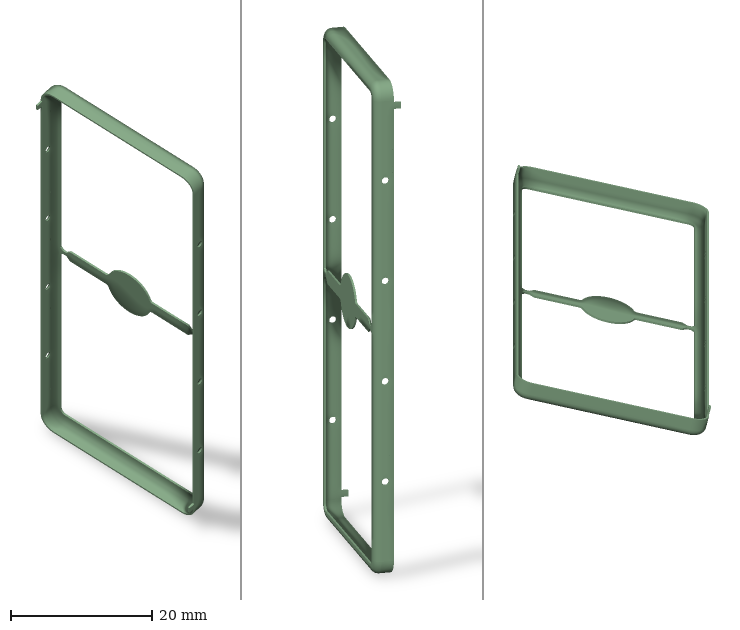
import cadquery as cq

width = 28.1
height = 73.7
rim_depth = 2.9
wall = 0.3
corner_radius = 2.35
edge_radius = 1.1
lip_reach = 1.5

peg_length = 1.0
peg_width = 0.95
peg_offset = 33.7

hole_diameter = 1.0
hole_pitch = 15.0
hole_count = 4
hole_from_back = edge_radius + hole_diameter / 2

disc_diameter = 7.95
disc_blend_radius = 0.6
bar_height = 2.0
bar_thickness = wall
neck_height = 0.7
neck_length = 0.7
neck_taper = (bar_height - neck_height) / 2
root_flare = 0.45

back_y = rim_depth
opening_half_width = width / 2 - lip_reach


def rounded_block(inset, front_y, end_y, outline_radius):
    """Block along Y, inset from the outer outline, with rounded corners."""
    block = cq.Workplane("XY").box(width - 2 * inset, end_y - front_y, height - 2 * inset)
    block = block.edges("|Y").fillet(outline_radius)
    return block.translate((0, (front_y + end_y) / 2, 0))


def make_rim():
    outer = rounded_block(0, 0, back_y, corner_radius)
    outer = outer.faces(">Y").edges().fillet(edge_radius)
    cavity = rounded_block(wall, 0, back_y - wall, corner_radius - wall)
    cavity = cavity.faces(">Y").edges().fillet(edge_radius - wall)
    opening = rounded_block(lip_reach, 0, back_y, corner_radius - lip_reach)
    return outer.cut(cavity).cut(opening)


def make_crossbar():
    root_x = opening_half_width + wall / 2
    neck_outer_x = opening_half_width - root_flare
    neck_inner_x = neck_outer_x - neck_length
    bar_end_x = neck_inner_x - neck_taper
    upper_right = [
        (bar_end_x, bar_height / 2),
        (neck_inner_x, neck_height / 2),
        (neck_outer_x, neck_height / 2),
        (opening_half_width, neck_height / 2 + root_flare),
        (root_x, neck_height / 2 + root_flare),
    ]
    upper = [(-x, z) for x, z in reversed(upper_right)] + upper_right
    lower = [(x, -z) for x, z in reversed(upper)]
    back_plane = cq.Workplane("XZ", origin=(0, back_y, 0))
    bar = back_plane.polyline(upper + lower).close().extrude(bar_thickness)
    disc = back_plane.circle(disc_diameter / 2).extrude(bar_thickness)
    junctions = cq.selectors.BoxSelector(
        (-disc_diameter / 2, 0, -bar_height),
        (disc_diameter / 2, back_y, bar_height),
    )
    return bar.union(disc).edges("|Y").edges(junctions).fillet(disc_blend_radius)


def make_pegs():
    side_x = (width - wall) / 2
    peg_places = [(-side_x, peg_offset), (side_x, -peg_offset)]
    pegs = cq.Workplane("XZ", origin=(0, wall, 0)).pushPoints(peg_places)
    return pegs.rect(wall, peg_width).extrude(peg_length + wall)


def make_side_holes():
    holes = cq.Workplane("YZ", origin=(-width / 2, back_y - hole_from_back, 0))
    return holes.rarray(0.75, hole_pitch, 1, hole_count).circle(hole_diameter / 2).extrude(width)


result = make_rim().union(make_crossbar()).union(make_pegs()).cut(make_side_holes())